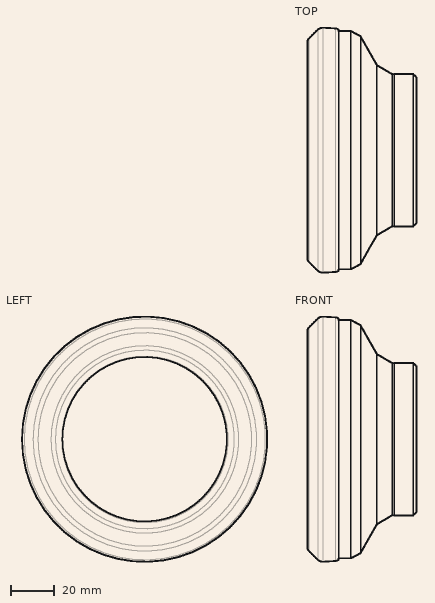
import cadquery as cq


cap_radius = 56.2
cap_back_x = 14.4
cap_back_radius = 55.2
face_outer_x = 0.1
face_outer_radius = 48.9
face_inner_x = 0.6
face_inner_radius = 42.9
nose_tip_radius = 49.5
bevel_start_x = 0.7
bevel_start_radius = 51.1
bevel_end_x = 4.7
bevel_end_radius = bevel_start_radius + bevel_end_x - bevel_start_x
band_start_x = 7.1
band_end_x = 12.9
band_end_radius = 55.8

recess_wall_start_x = 1.7
recess_wall_start_radius = 40.9
recess_wall_end_x = 5.7
recess_wall_end_radius = 38.1
recess_floor_x = 6.2
recess_floor_radius = 37.6

housing_radius = 109.2 / 2
shoulder_x = 20.0
shoulder_end_x = 24.4
shoulder_end_radius = 52.2
cone_end_x = 31.9
cone_end_radius = 39.0
neck_x = 39.0
neck_radius = 69.6 / 2
collar_x = 39.8
collar_radius = 70.0 / 2
collar_chamfer = 1.7
overall_length = 50.1


def revolve_about_x(outline):
    return outline.close().revolve(360, (0, 0, 0), (1, 0, 0))


def make_cap():
    outline = (
        cq.Workplane("XY")
        .moveTo(cap_back_x, 0)
        .lineTo(recess_floor_x, 0)
        .lineTo(recess_floor_x, recess_floor_radius)
        .lineTo(recess_wall_end_x, recess_wall_end_radius)
        .lineTo(recess_wall_start_x, recess_wall_start_radius)
        .tangentArcPoint((face_inner_x, face_inner_radius), relative=False)
        .lineTo(face_outer_x, face_outer_radius)
        .threePointArc((0, nose_tip_radius), (bevel_start_x, bevel_start_radius))
        .lineTo(bevel_end_x, bevel_end_radius)
        .tangentArcPoint((band_start_x, cap_radius), relative=False)
        .lineTo(band_end_x, band_end_radius)
        .tangentArcPoint((cap_back_x, cap_back_radius), relative=False)
    )
    return revolve_about_x(outline)


def make_housing():
    outline = (
        cq.Workplane("XY")
        .moveTo(cap_back_x, 0)
        .lineTo(cap_back_x, housing_radius)
        .lineTo(shoulder_x, housing_radius)
        .lineTo(shoulder_end_x, shoulder_end_radius)
        .lineTo(cone_end_x, cone_end_radius)
        .lineTo(neck_x, neck_radius)
        .lineTo(collar_x, neck_radius)
        .lineTo(collar_x, collar_radius)
        .lineTo(overall_length - collar_chamfer, collar_radius)
        .lineTo(overall_length, collar_radius - collar_chamfer)
        .lineTo(overall_length, 0)
    )
    return revolve_about_x(outline)


cap = make_cap()
housing = make_housing()
result = cq.Compound.makeCompound([cap.val(), housing.val()])